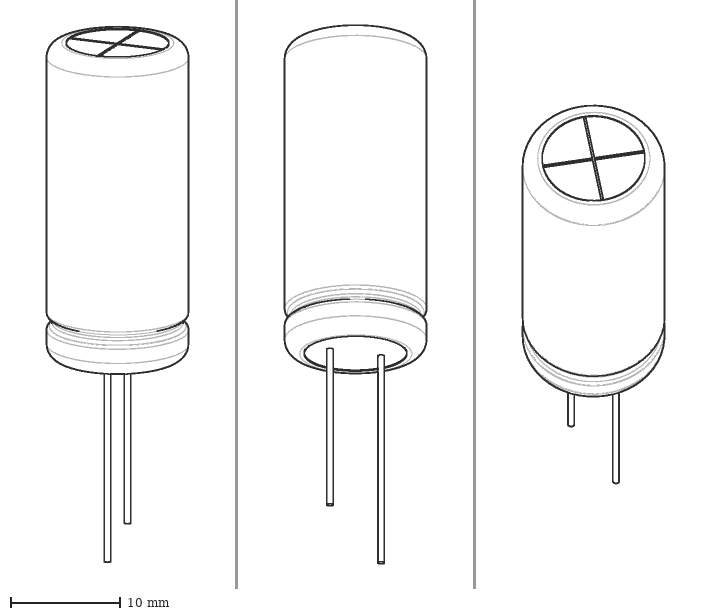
import cadquery as cq
import math

sleeve_diameter = 13.0
body_height = 30.0
sleeve_thickness = 0.1
end_flat_diameter = 10.25
sleeve_opening_diameter = 9.4

groove_diameter = 12.0
groove_center_z = 3.55
groove_flat_height = 0.3
groove_arc_radius = 0.35

vent_width = 0.2
vent_depth = 0.1
vent_angles = (45, -45)

lead_diameter = 0.6
lead_spacing = 5.0
long_lead_length = 20.0
short_lead_length = 15.0

body_radius = sleeve_diameter / 2
end_radius = (sleeve_diameter - end_flat_diameter) / 2
groove_radius = groove_diameter / 2
can_bottom_z = sleeve_thickness
can_top_z = body_height - sleeve_thickness

flank_depth = body_radius - groove_radius
flank_angle = math.acos(1 - flank_depth / (2 * groove_arc_radius))
flank_height = 2 * groove_arc_radius * math.sin(flank_angle)
groove_flat_half = groove_flat_height / 2
groove_half = groove_flat_half + flank_height


def arc_point(center, radius, angle):
    """Point on an arc in the (radius, height) plane, angle in radians from the outward direction."""
    return (center[0] + radius * math.cos(angle), center[1] + radius * math.sin(angle))


def grooved_cylinder(inset):
    """Round-ended cylinder with the crimp groove, offset inward from the sleeve surface by inset."""
    bottom_z = inset
    top_z = body_height - inset
    outer = body_radius - inset
    groove_bottom = groove_radius - inset
    rounding = end_radius - inset
    convex = groove_arc_radius - inset
    concave = groove_arc_radius + inset

    end_x = body_radius - end_radius
    lower_end_center = (end_x, end_radius)
    upper_end_center = (end_x, body_height - end_radius)
    convex_x = body_radius - groove_arc_radius
    lower_convex_center = (convex_x, groove_center_z - groove_half)
    upper_convex_center = (convex_x, groove_center_z + groove_half)
    concave_x = groove_radius + groove_arc_radius
    lower_concave_center = (concave_x, groove_center_z - groove_flat_half)
    upper_concave_center = (concave_x, groove_center_z + groove_flat_half)

    half_angle = flank_angle / 2
    inward = math.pi
    eighth_turn = math.pi / 4

    profile = (
        cq.Workplane("XZ")
        .moveTo(0, bottom_z)
        .lineTo(end_x, bottom_z)
        .threePointArc(arc_point(lower_end_center, rounding, -eighth_turn), (outer, end_radius))
        .lineTo(outer, lower_convex_center[1])
        .threePointArc(
            arc_point(lower_convex_center, convex, half_angle),
            arc_point(lower_convex_center, convex, flank_angle),
        )
        .threePointArc(
            arc_point(lower_concave_center, concave, inward + half_angle),
            (groove_bottom, lower_concave_center[1]),
        )
        .lineTo(groove_bottom, upper_concave_center[1])
        .threePointArc(
            arc_point(upper_concave_center, concave, inward - half_angle),
            arc_point(upper_concave_center, concave, inward - flank_angle),
        )
        .threePointArc(
            arc_point(upper_convex_center, convex, -half_angle),
            (outer, upper_convex_center[1]),
        )
        .lineTo(outer, upper_end_center[1])
        .threePointArc(arc_point(upper_end_center, rounding, eighth_turn), (end_x, top_z))
        .lineTo(0, top_z)
        .close()
    )
    return profile.revolve(360, (0, 0, 0), (0, 1, 0))


def make_sleeve():
    """Thin shell around the can, with a round opening at the top and the bottom."""
    openings = cq.Workplane("XY").circle(sleeve_opening_diameter / 2).extrude(body_height)
    return grooved_cylinder(0).cut(grooved_cylinder(sleeve_thickness)).cut(openings)


def make_vent_slot(angle):
    """One bar of the vent cross, as long as the sleeve opening is wide."""
    return (
        cq.Workplane("XY")
        .workplane(offset=can_top_z - vent_depth)
        .rect(sleeve_opening_diameter, vent_width)
        .extrude(vent_depth)
        .rotate((0, 0, 0), (0, 0, 1), angle)
    )


def make_lead(x, length):
    """Wire lead that reaches length below the body and joins the bottom of the can."""
    return (
        cq.Workplane("XY")
        .workplane(offset=-length)
        .center(x, 0)
        .circle(lead_diameter / 2)
        .extrude(length + can_bottom_z)
    )


def make_can():
    """Solid can with the vent cross on top and the two leads fixed to its bottom."""
    can = grooved_cylinder(sleeve_thickness)
    for angle in vent_angles:
        can = can.cut(make_vent_slot(angle))
    can = can.union(make_lead(-lead_spacing / 2, long_lead_length))
    return can.union(make_lead(lead_spacing / 2, short_lead_length))


sleeve = make_sleeve()
can = make_can()

result = cq.Compound.makeCompound([sleeve.val(), can.val()])